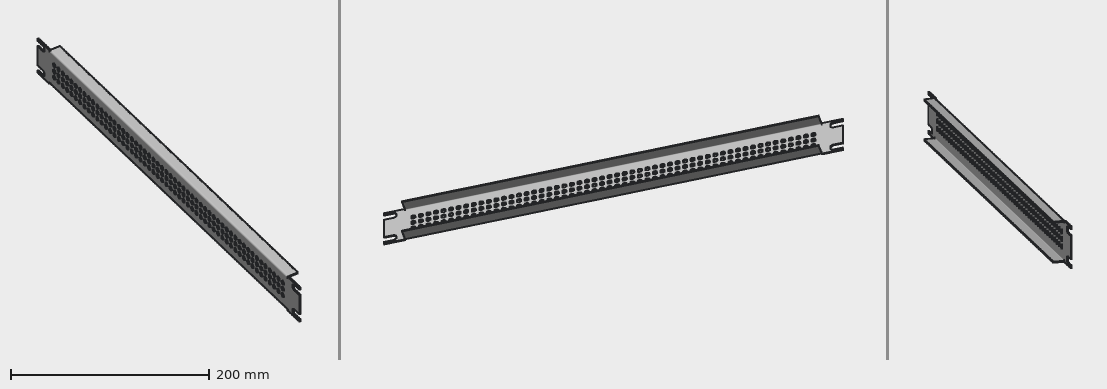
import cadquery as cq

panel_length = 482.6
panel_height = 43.64
flange_depth = 12.7
sheet_thickness = 1.45

flange_length = 438.15
inner_bend_radius = 0.75
outer_bend_radius = inner_bend_radius + sheet_thickness

slot_width = 7.0
slot_spacing_x = 463.0
slot_spacing_z = 31.75

hole_diameter = 4.5
hole_pitch = 7.9375
hole_columns = 54
hole_rows = 3


def make_panel():
    """Flat front plate, running the full length."""
    return cq.Workplane("XY").box(
        panel_length, sheet_thickness, panel_height, centered=(True, False, True)
    )


def make_folded_channel():
    """C-shaped channel whose web is the plate and whose legs are the two flanges."""
    inner_height = panel_height - 2 * sheet_thickness
    outer = (
        cq.Workplane("XY")
        .box(flange_length, flange_depth, panel_height, centered=(True, False, True))
        .edges("|X and <Y")
        .fillet(outer_bend_radius)
    )
    cavity = (
        cq.Workplane("XY", origin=(0, sheet_thickness, 0))
        .box(flange_length, flange_depth, inner_height, centered=(True, False, True))
        .edges("|X and <Y")
        .fillet(inner_bend_radius)
    )
    return outer.cut(cavity)


def make_panel_ends():
    """Square-edged plate ends that project beyond the folded channel."""
    middle = cq.Workplane("XY").box(
        flange_length, sheet_thickness, panel_height, centered=(True, False, True)
    )
    return make_panel().cut(middle)


def make_mounting_slots():
    """Round-bottomed slots, open at the left and right ends of the plate."""
    straight_length = (panel_length - slot_spacing_x) / 2 + slot_width
    slot_offset_x = (slot_spacing_x + straight_length) / 2
    slot_centres = [
        (side * slot_offset_x, level * slot_spacing_z / 2)
        for side in (-1, 1)
        for level in (-1, 1)
    ]
    return (
        cq.Workplane("XZ")
        .pushPoints(slot_centres)
        .slot2D(straight_length + slot_width, slot_width)
        .extrude(-sheet_thickness)
    )


def make_vent_holes():
    """Rectangular grid of round holes through the plate."""
    return (
        cq.Workplane("XZ")
        .rarray(hole_pitch, hole_pitch, hole_columns, hole_rows)
        .circle(hole_diameter / 2)
        .extrude(-sheet_thickness)
    )


body = make_folded_channel().union(make_panel_ends())
result = body.cut(make_mounting_slots()).cut(make_vent_holes())